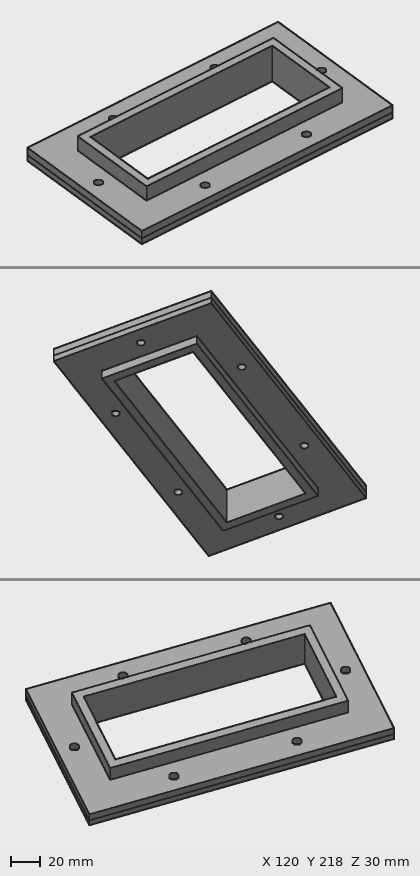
import cadquery as cq

plate_width = 120.0
plate_length = 218.0

collar_wall = 6.0
collar_width = 72.2
collar_length = 170.3
opening_width = collar_width - 2 * collar_wall
opening_length = collar_length - 2 * collar_wall

total_height = 30.0
lower_plate_bottom = 7.0
joint_height = 12.0
upper_plate_top = 18.0
lower_plate_thickness = joint_height - lower_plate_bottom
upper_plate_thickness = upper_plate_top - joint_height

upper_hole_diameter = 6.3
lower_hole_diameter = 5.5
hole_edge_distance = 12.0
side_hole_spacing = 88.0
side_hole_x = plate_width / 2 - hole_edge_distance
side_hole_y = side_hole_spacing / 2
end_hole_y = plate_length / 2 - hole_edge_distance
hole_centers = [(0, end_hole_y), (0, -end_hole_y)] + [
    (x, y) for x in (-side_hole_x, side_hole_x) for y in (-side_hole_y, side_hole_y)
]


def block(width, length, bottom, height):
    """Rectangular block centred on the Z axis."""
    return cq.Workplane("XY").workplane(offset=bottom).rect(width, length).extrude(height)


def drilled_plate(bottom, thickness, hole_diameter):
    """Flat plate with the six screw holes through it."""
    holes = (
        cq.Workplane("XY").workplane(offset=bottom)
        .pushPoints(hole_centers).circle(hole_diameter / 2).extrude(thickness)
    )
    return block(plate_width, plate_length, bottom, thickness).cut(holes)


def make_flanged_frame():
    """Full-height collar with the upper plate as its flange."""
    plate = drilled_plate(joint_height, upper_plate_thickness, upper_hole_diameter)
    collar = block(collar_width, collar_length, 0, total_height)
    opening = block(opening_width, opening_length, 0, total_height)
    return plate.union(collar).cut(opening)


def make_backing_plate():
    """Lower plate that fits around the collar, under the flange."""
    plate = drilled_plate(lower_plate_bottom, lower_plate_thickness, lower_hole_diameter)
    collar_hole = block(collar_width, collar_length, lower_plate_bottom, lower_plate_thickness)
    return plate.cut(collar_hole)


flanged_frame = make_flanged_frame()
backing_plate = make_backing_plate()

result = cq.Compound.makeCompound([flanged_frame.val(), backing_plate.val()])